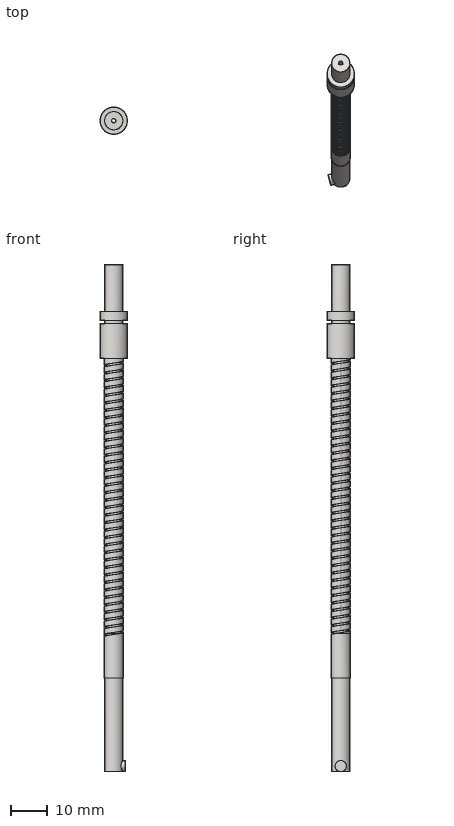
import cadquery as cq

total_length = 137.5
bore_radius = 0.5
shank_radius = 2.5

pin_radius = 1.5
pin_height = pin_radius
pin_reach = 3.2
sleeve_bottom = 25.5
sleeve_top = 37.5
sleeve_radius = 2.6

tube_radius = sleeve_radius
tube_top = 112.1
slot_turns = 37
slot_width = 0.5
slot_depth = slot_width
slot_start = 37.0
slot_start_angle = 180.0

head_radius = 3.7
groove_bottom = 121.6
groove_top = 122.4
head_top = 124.9


def rod(radius, bottom, top):
    """Upright cylinder on the Z axis."""
    return cq.Workplane("XY").workplane(offset=bottom).circle(radius).extrude(top - bottom)


def make_slot():
    """Spiral cutter that starts just inside the sleeve and ends at the top of the tube."""
    spiral_length = tube_top - slot_start
    path = cq.Workplane(cq.Wire.makeHelix(spiral_length / slot_turns, spiral_length, tube_radius))
    section = cq.Workplane("XZ").center(tube_radius, 0).rect(2 * slot_depth, slot_width)
    cutter = section.sweep(path, isFrenet=True)
    return cutter.rotate((0, 0, 0), (0, 0, 1), slot_start_angle).translate((0, 0, slot_start))


def make_lower_end(bore, slot):
    shank = rod(shank_radius, 0, sleeve_bottom)
    sleeve = rod(sleeve_radius, sleeve_bottom, sleeve_top)
    pin = cq.Workplane("YZ").center(0, pin_height).circle(pin_radius).extrude(pin_reach)
    return shank.union(sleeve).union(pin).cut(bore).cut(slot)


def make_flexible_tube(bore, slot):
    return rod(tube_radius, sleeve_top, tube_top).cut(bore).cut(slot)


def make_upper_end(bore):
    head = rod(head_radius, tube_top, groove_bottom)
    rim = rod(head_radius, groove_top, head_top)
    shank = rod(shank_radius, tube_top, total_length)
    return shank.union(head).union(rim).cut(bore)


bore = rod(bore_radius, 0, total_length)
slot = make_slot()

lower_end = make_lower_end(bore, slot)
flexible_tube = make_flexible_tube(bore, slot)
upper_end = make_upper_end(bore)

result = cq.Compound.makeCompound([lower_end.val(), flexible_tube.val(), upper_end.val()])